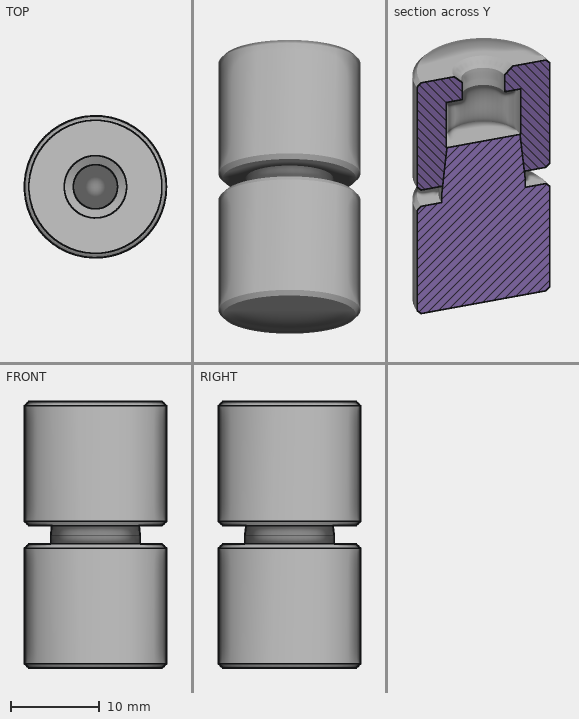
import cadquery as cq

total_height = 30.0
outer_diameter = 16.0
outer_radius = outer_diameter / 2
body_height = 13.98
edge_chamfer = 0.5

spigot_radius = 5.05
spigot_root_height = 1.0
spigot_tip_radius = 4.4
spigot_taper_height = 6.0

hole_radius = 2.5
countersink_radius = 3.5
countersink_depth = 1.0
roof_thickness = 3.2

bottom_z = -total_height / 2
top_z = total_height / 2
lower_top_z = bottom_z + body_height
upper_bottom_z = top_z - body_height
taper_start_z = lower_top_z + spigot_root_height
taper_end_z = taper_start_z + spigot_taper_height
roof_z = top_z - roof_thickness


def chamfered_cylinder(base_z):
    """Plain cylindrical body with both rims chamfered."""
    cylinder = cq.Workplane("XY").workplane(offset=base_z).circle(outer_radius).extrude(body_height)
    return cylinder.faces("<Z or >Z").edges().chamfer(edge_chamfer)


def spigot_taper():
    """Tapered part of the spigot, also the shape of its matching socket."""
    return cq.Workplane(
        cq.Solid.makeCone(
            spigot_radius, spigot_tip_radius, spigot_taper_height, pnt=cq.Vector(0, 0, taper_start_z)
        )
    )


def countersunk_hole():
    """Hole through the roof with a conical mouth in the top face."""
    bore = cq.Workplane("XY").workplane(offset=roof_z).circle(hole_radius).extrude(roof_thickness)
    mouth = cq.Solid.makeCone(
        hole_radius, countersink_radius, countersink_depth, pnt=cq.Vector(0, 0, top_z - countersink_depth)
    )
    return bore.union(cq.Workplane(mouth))


def cavity_above_spigot():
    """Straight cavity continuing the socket from the spigot tip up to the roof."""
    cavity_height = roof_z - taper_end_z
    return cq.Workplane("XY").workplane(offset=taper_end_z).circle(spigot_tip_radius).extrude(cavity_height)


def make_lower_body():
    """Lower body with the spigot rising from its top face."""
    root = cq.Workplane("XY").workplane(offset=lower_top_z).circle(spigot_radius).extrude(spigot_root_height)
    return chamfered_cylinder(bottom_z).union(root).union(spigot_taper())


def make_upper_body():
    """Upper body with the countersunk hole above and the spigot socket below."""
    socket = spigot_taper().union(cavity_above_spigot())
    return chamfered_cylinder(upper_bottom_z).cut(socket).cut(countersunk_hole())


lower_body = make_lower_body()
upper_body = make_upper_body()

result = cq.Compound.makeCompound([lower_body.val(), upper_body.val()])